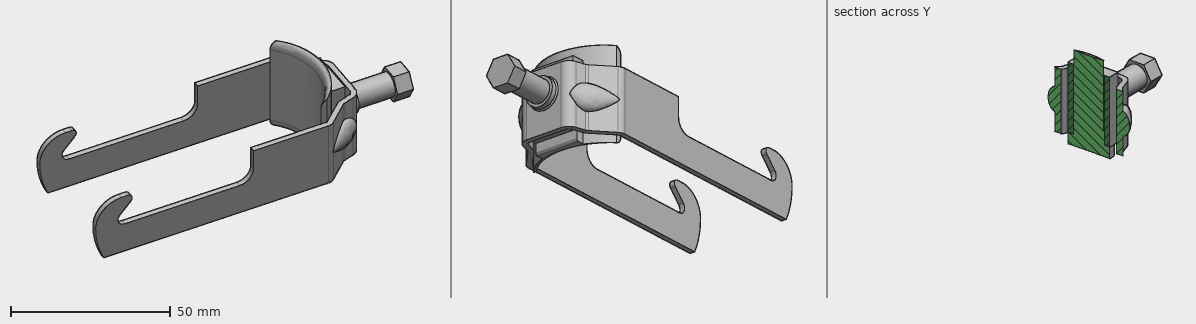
import cadquery as cq
import math

OVERALL_LENGTH = 120.5
DIAGONAL = math.sqrt(0.5)

SHEET = 1.9
STRAP_HALF_WIDTH = 19.5
STRAP_TOP = 9.0
STRAP_BOTTOM = -13.9
STRAP_HEIGHT = STRAP_TOP - STRAP_BOTTOM
STRAP_MIDDLE = (STRAP_TOP + STRAP_BOTTOM) / 2
HOOK_END = -99.0

CROWN_CORNER = (9.2, -SHEET / 2)
NECK_CORNER = (11.1, -7.2)
LEG_CORNER = (STRAP_HALF_WIDTH - SHEET / 2, -15.3)
CROWN_BEND = 1.9
NECK_BEND = 2.2
LEG_BEND = 1.3

BEAD_START = (9.4, -1.0)
BEAD_CENTRE = (11.8, -6.7)
BEAD_END = (19.2, -15.0)
BEAD_RISE = 3.0
BEAD_HALF_HEIGHT = 5.0

STEP_Y = -42.9
STEP_RADIUS = 5.0
ARM_HEIGHT = 10.8
ARM_TOP = STRAP_BOTTOM + ARM_HEIGHT
THROAT_END = -91.1
THROAT_RADIUS = 2.4
HOOK_TIP_Y = -86.0
HOOK_TOP = 8.0
TIP_RADIUS = 1.6
NOSE_RADIUS = 9.2
HEEL_Y = -96.2

BOLT_DIAMETER = 8.4
HEAD_FLATS = 10.0
HEAD_HEIGHT = 5.7
BOLT_TOP = OVERALL_LENGTH + HOOK_END
BOLT_TIP = -4.3

COLLAR_RADIUS = 5.3
COLLAR_HEIGHT = 2.3
COLLAR_FLARE = 0.5

SADDLE_WIDTH = 33.7
SADDLE_HEIGHT = 34.0
SADDLE_MIDDLE = 0.5
SADDLE_TOP = SADDLE_MIDDLE + SADDLE_HEIGHT / 2
SADDLE_BOTTOM = SADDLE_MIDDLE - SADDLE_HEIGHT / 2
BACK_RADIUS = 22.4
BORE_RADIUS = 22.9
OUTER_APEX = -7.7
INNER_APEX = -10.1
MOUTH_FLARE = 1.9
MOUTH_LENGTH = 2.9

BLOCK_WIDTH = 16.6
BLOCK_HALF_HEIGHT = 12.4

LEDGE_BACK = -6.1
LEDGE_ROUND = 0.7



def shifted_corners(distance):
    """Mitred corners of the sheet's centre line, shifted outwards by a distance."""
    crown_middle = (0, CROWN_CORNER[1])
    leg_end = (LEG_CORNER[0], HOOK_END)
    path = [crown_middle, CROWN_CORNER, NECK_CORNER, LEG_CORNER, leg_end]
    normals = []
    for (x0, y0), (x1, y1) in zip(path, path[1:]):
        length = math.hypot(x1 - x0, y1 - y0)
        normals.append(((y0 - y1) / length, (x1 - x0) / length))
    corners = []
    for (x, y), (ax, ay), (bx, by) in zip(path[1:-1], normals, normals[1:]):
        mitre = distance / (1 + ax * bx + ay * by)
        corners.append((x + mitre * (ax + bx), y + mitre * (ay + by)))
    return corners


def filled_strap(distance, bend_radii):
    """Solid within the strap's centre line, shifted outwards by a distance, with rounded bends."""
    corners = shifted_corners(distance)
    right = corners + [(corners[-1][0], HOOK_END)]
    left = [(-x, y) for x, y in reversed(right)]
    plan = cq.Workplane("XY", origin=(0, 0, STRAP_BOTTOM)).polyline(right + left).close()
    body = plan.extrude(STRAP_HEIGHT)
    for (x, y), radius in zip(corners, bend_radii):
        for side in (1, -1):
            at_corner = cq.selectors.NearestToPointSelector((side * x, y, STRAP_MIDDLE))
            body = body.edges("|Z").edges(at_corner).fillet(radius)
    return body


def bead(side):
    """Lens-shaped bead: pointed at both ends, with an elliptical section in its middle."""
    run_x = BEAD_END[0] - BEAD_START[0]
    run_y = BEAD_END[1] - BEAD_START[1]
    middle = cq.Plane(
        origin=(side * BEAD_CENTRE[0], BEAD_CENTRE[1], STRAP_MIDDLE),
        xDir=(-side * run_y, run_x, 0),
        normal=(side * run_x, run_y, 0),
    )
    section = cq.Workplane(middle).ellipse(BEAD_RISE, BEAD_HALF_HEIGHT).wires().val()
    start, end = [cq.Vertex.makeVertex(side * x, y, STRAP_MIDDLE) for x, y in (BEAD_START, BEAD_END)]
    return cq.Workplane(cq.occ_impl.shapes.loft(start, section, end, cap=True))


def leg_side():
    """Side outline of the strap with its step, arm and hook, extruded over the full width."""
    throat_y = THROAT_END + THROAT_RADIUS
    throat_z = ARM_TOP + THROAT_RADIUS
    tip_y = HOOK_TIP_Y - TIP_RADIUS
    tip_z = HOOK_TOP - TIP_RADIUS
    nose_y = HOOK_END + NOSE_RADIUS
    nose_z = HOOK_TOP - NOSE_RADIUS
    half_turn = math.radians(135 / 2)
    turn_y, turn_z = math.sin(half_turn), math.cos(half_turn)
    return (
        cq.Workplane("YZ", origin=(-STRAP_HALF_WIDTH, 0, 0))
        .moveTo(SHEET, STRAP_BOTTOM)
        .lineTo(SHEET, STRAP_TOP)
        .lineTo(STEP_Y, STRAP_TOP)
        .lineTo(STEP_Y, ARM_TOP + STEP_RADIUS)
        .radiusArc((STEP_Y - STEP_RADIUS, ARM_TOP), STEP_RADIUS)
        .lineTo(throat_y, ARM_TOP)
        .threePointArc(
            (throat_y - THROAT_RADIUS * turn_y, throat_z - THROAT_RADIUS * turn_z),
            (throat_y - THROAT_RADIUS * DIAGONAL, throat_z + THROAT_RADIUS * DIAGONAL),
        )
        .lineTo(tip_y + TIP_RADIUS * DIAGONAL, tip_z - TIP_RADIUS * DIAGONAL)
        .threePointArc(
            (tip_y + TIP_RADIUS * turn_y, tip_z + TIP_RADIUS * turn_z),
            (tip_y, HOOK_TOP),
        )
        .lineTo(nose_y, HOOK_TOP)
        .threePointArc(
            (nose_y - NOSE_RADIUS * DIAGONAL, nose_z + NOSE_RADIUS * DIAGONAL),
            (HOOK_END, nose_z),
        )
        .tangentArcPoint((HEEL_Y, STRAP_BOTTOM), relative=False)
        .close()
        .extrude(2 * STRAP_HALF_WIDTH)
    )


def collar():
    """Ring on the crown around the bolt, with a slightly flared root."""
    return (
        cq.Workplane("XY")
        .lineTo(COLLAR_RADIUS + COLLAR_FLARE, 0)
        .lineTo(COLLAR_RADIUS, COLLAR_FLARE)
        .lineTo(COLLAR_RADIUS, COLLAR_HEIGHT)
        .lineTo(0, COLLAR_HEIGHT)
        .close()
        .revolve(360, (0, 0), (0, 1))
    )


def make_strap():
    outer_bends = (CROWN_BEND + SHEET, NECK_BEND, LEG_BEND + SHEET)
    inner_bends = (CROWN_BEND, NECK_BEND + SHEET, LEG_BEND)
    body = filled_strap(SHEET / 2, outer_bends)
    for side in (1, -1):
        body = body.union(bead(side))
    body = body.cut(filled_strap(-SHEET / 2, inner_bends))
    body = body.intersect(leg_side()).union(collar())
    bolt_hole = (
        cq.Workplane("XZ", origin=(0, COLLAR_HEIGHT, 0))
        .circle(BOLT_DIAMETER / 2)
        .extrude(COLLAR_HEIGHT + SHEET)
    )
    return body.cut(bolt_hole)



def make_bolt():
    head_corners = HEAD_FLATS / math.cos(math.pi / 6)
    from_top = cq.Workplane("XZ", origin=(0, BOLT_TOP, 0))
    shank = from_top.circle(BOLT_DIAMETER / 2).extrude(BOLT_TOP - BOLT_TIP)
    head = from_top.polygon(6, head_corners).extrude(HEAD_HEIGHT)
    return shank.union(head)



def saddle_back():
    """Full cylinder whose +Y side is the back of the saddle."""
    axis_point = (0, OUTER_APEX - BACK_RADIUS, SADDLE_BOTTOM)
    return cq.Workplane("XY", origin=axis_point).circle(BACK_RADIUS).extrude(SADDLE_HEIGHT)


def saddle_bore():
    """Bore of the saddle, flaring like a quarter ellipse at both ends."""
    mouth_radius = BORE_RADIUS + MOUTH_FLARE
    return (
        cq.Workplane("XZ", origin=(0, INNER_APEX - BORE_RADIUS, 0))
        .moveTo(0, SADDLE_BOTTOM)
        .lineTo(mouth_radius, SADDLE_BOTTOM)
        .ellipseArc(MOUTH_FLARE, MOUTH_LENGTH, 180, 270, sense=-1, startAtCurrent=True)
        .lineTo(BORE_RADIUS, SADDLE_TOP - MOUTH_LENGTH)
        .ellipseArc(MOUTH_FLARE, MOUTH_LENGTH, 90, 180, sense=-1, startAtCurrent=True)
        .lineTo(0, SADDLE_TOP)
        .close()
        .revolve(360, (0, 0), (0, 1))
    )


def upright_box(back, front, bottom, top, width):
    """Box centred on X, between two Y places and two Z places."""
    middle = (0, (back + front) / 2, bottom)
    return cq.Workplane("XY", origin=middle).rect(width, back - front).extrude(top - bottom)


def make_block():
    bar = upright_box(BOLT_TIP, INNER_APEX - MOUTH_FLARE, -BLOCK_HALF_HEIGHT, BLOCK_HALF_HEIGHT, BLOCK_WIDTH)
    return bar.cut(saddle_back())


def make_saddle():
    axis_y = INNER_APEX - BORE_RADIUS
    end_y = axis_y + math.sqrt(BORE_RADIUS**2 - (SADDLE_WIDTH / 2) ** 2)
    sector = upright_box(OUTER_APEX, end_y, SADDLE_BOTTOM, SADDLE_TOP, SADDLE_WIDTH)
    ledge = (
        upright_box(LEDGE_BACK, INNER_APEX - MOUTH_FLARE, SADDLE_BOTTOM, -BLOCK_HALF_HEIGHT, BLOCK_WIDTH)
        .faces(">Y")
        .edges("<Z")
        .fillet(LEDGE_ROUND)
    )
    return saddle_back().intersect(sector).union(ledge).cut(saddle_bore())


strap = make_strap()
bolt = make_bolt()
block = make_block()
saddle = make_saddle()

bodies = [strap, bolt, block, saddle]
result = cq.Compound.makeCompound([body.solids().val() for body in bodies])